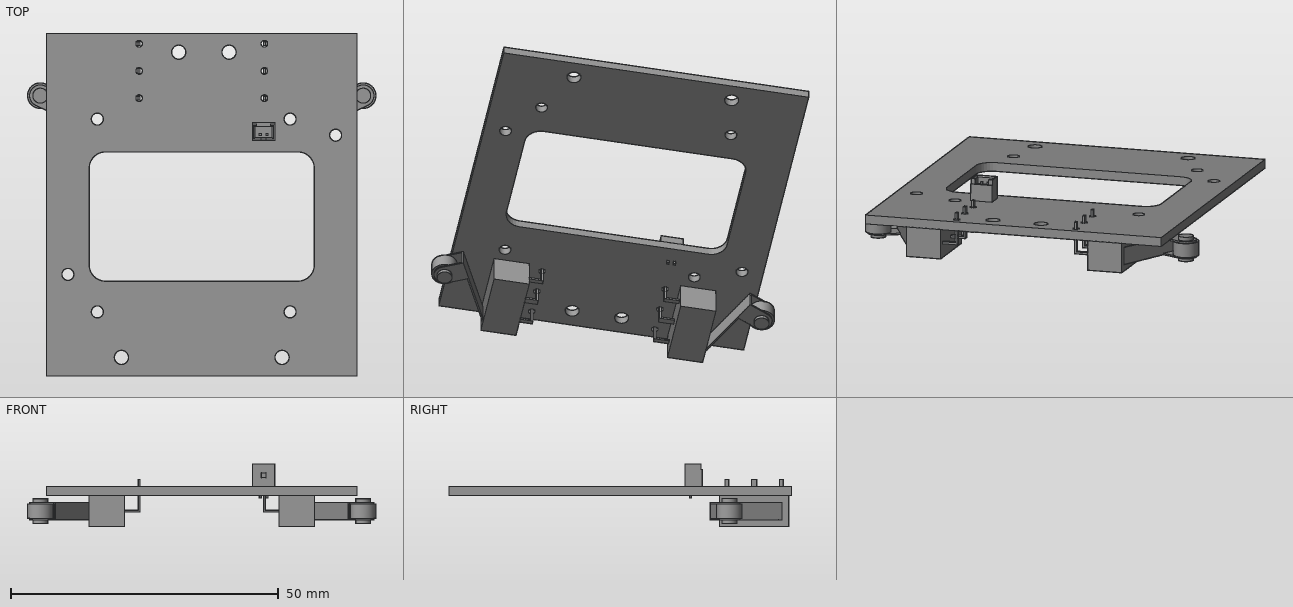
import cadquery as cq
import math

board_width = 58.0
board_length = 64.0
board_thickness = 1.7

window_width = 42.0
window_length = 24.1
window_centre_y = -2.2
window_corner_radius = 3.0
window_corner_facets = 8

large_hole_diameter = 2.6
large_hole_y = 28.5
front_hole_x = 15.0
rear_hole_pitch = 9.4
rear_hole_centre_x = 0.4

small_hole_diameter = 2.2
square_pattern_pitch = 36.0
square_pattern_centre = (-1.5, -2.0)
diagonal_hole = (25.0, 13.0)

terminal_hole_diameter = 1.2
contact_hole_diameter = 0.6

switch_width = 6.7
switch_length = 13.0
switch_height = 5.8
switch_outer_x = 21.1
switch_centre_y = 25.0
switch_mid_z = -switch_height / 2

terminal_x = 11.7
terminal_pitch = 5.08
terminal_thickness = 0.4
outer_terminal_width = 0.75
middle_terminal_width = 1.0
terminal_rise = 1.3

lever_height = 3.3
lever_thickness = 0.3
lever_root_y = 30.2
lever_tip = (-27.55, 16.9)

roller_diameter = 4.8
axle_diameter = 2.8
axle_length = 4.7
ear_radius = 2.0
axle_offset = 3.86
roller_width = lever_height - 2 * lever_thickness

connector_width = 4.2
connector_depth = 3.3
connector_height = 4.2
connector_centre_x = 11.55
connector_front_y = 12.05
connector_wall = 0.5
rim_chamfer = 0.25
connector_floor = 0.8
rear_step_depth = 0.25
rear_step_drop = 1.0
rear_opening_width = 2.6
latch_window = 0.9
contact_pitch = 1.25
contact_size = 0.4
contact_y = 13.1
contact_rise = 3.2
contact_tail = 0.5

contact_points = [
    (connector_centre_x + side * contact_pitch / 2, contact_y) for side in (-1, 1)
]
terminal_ys = [switch_centre_y + row * terminal_pitch for row in (-1, 0, 1)]


def box_between(x_range, y_range, z_range):
    """Box given by its lower and upper limits along each axis."""
    size = [high - low for low, high in (x_range, y_range, z_range)]
    return cq.Workplane("XY").box(*size, centered=False).translate((x_range[0], y_range[0], z_range[0]))


def window_outline():
    """Rectangle about the origin whose corners are rounded by short straight facets."""
    inset_x = window_width / 2 - window_corner_radius
    inset_y = window_length / 2 - window_corner_radius
    points = []
    for corner, (sign_x, sign_y) in enumerate([(1, 1), (-1, 1), (-1, -1), (1, -1)]):
        for step in range(window_corner_facets + 1):
            angle = math.pi / 2 * (corner + step / window_corner_facets)
            x = sign_x * inset_x + window_corner_radius * math.cos(angle)
            y = sign_y * inset_y + window_corner_radius * math.sin(angle)
            points.append((x, y))
    return points


def make_board():
    board = cq.Workplane("XY").rect(board_width, board_length).extrude(board_thickness)
    window = (
        cq.Workplane("XY")
        .center(0, window_centre_y)
        .polyline(window_outline())
        .close()
        .extrude(board_thickness)
    )
    large_holes = [(side * front_hole_x, -large_hole_y) for side in (-1, 1)]
    large_holes += [(rear_hole_centre_x + side * rear_hole_pitch / 2, large_hole_y) for side in (-1, 1)]

    centre_x, centre_y = square_pattern_centre
    half_pitch = square_pattern_pitch / 2
    small_holes = [
        (centre_x + i * half_pitch, centre_y + j * half_pitch) for i in (-1, 1) for j in (-1, 1)
    ]
    small_holes += [(side * diagonal_hole[0], side * diagonal_hole[1]) for side in (-1, 1)]

    terminal_holes = [(side * terminal_x, y) for side in (-1, 1) for y in terminal_ys]

    board = board.cut(window)
    for points, diameter in (
        (large_holes, large_hole_diameter),
        (small_holes, small_hole_diameter),
        (terminal_holes, terminal_hole_diameter),
        (contact_points, contact_hole_diameter),
    ):
        board = board.cut(cq.Workplane("XY").pushPoints(points).circle(diameter / 2).extrude(board_thickness))
    return board


lever_run_x = -switch_outer_x - lever_tip[0]
lever_run_y = lever_root_y - lever_tip[1]
lever_length = math.hypot(lever_run_x, lever_run_y)
lever_plane = cq.Plane(
    origin=(lever_tip[0], lever_tip[1], switch_mid_z),
    xDir=(lever_run_x, lever_run_y, 0),
    normal=(0, 0, 1),
)


def lever_layer(thickness):
    """Sketch plane of a layer of the given thickness centred on the switch mid-height."""
    return cq.Workplane(lever_plane).workplane(offset=-thickness / 2)


def make_lever():
    """Strip with two round-ended ears bent outwards, plus the axle between the ears."""
    strip_centre = (lever_length / 2, -lever_thickness / 2)
    strip = lever_layer(lever_height).center(*strip_centre).rect(lever_length, lever_thickness)
    ears = (
        lever_layer(lever_height)
        .moveTo(0, -lever_thickness)
        .lineTo(0, axle_offset)
        .threePointArc((ear_radius, axle_offset + ear_radius), (2 * ear_radius, axle_offset))
        .lineTo(2 * ear_radius, -lever_thickness)
        .close()
        .extrude(lever_height)
    )
    ear_gap = (
        lever_layer(roller_width)
        .center(ear_radius, axle_offset)
        .rect(3 * ear_radius, 2 * axle_offset)
        .extrude(roller_width)
    )
    axle = lever_layer(axle_length).center(ear_radius, axle_offset).circle(axle_diameter / 2)
    return strip.extrude(lever_height).union(ears.cut(ear_gap)).union(axle.extrude(axle_length))


def make_terminal(y, width):
    """Bent pin leaving the inner side of the switch and rising through the board."""
    inner_x = switch_width - switch_outer_x
    half = terminal_thickness / 2
    y_range = (y - width / 2, y + width / 2)
    x_end = half - terminal_x
    foot = box_between((inner_x, x_end), y_range, (switch_mid_z - half, switch_mid_z + half))
    post = box_between(
        (x_end - terminal_thickness, x_end),
        y_range,
        (switch_mid_z - half, board_thickness + terminal_rise),
    )
    return foot.union(post)


def make_switch():
    half_length = switch_length / 2
    switch = box_between(
        (-switch_outer_x, switch_width - switch_outer_x),
        (switch_centre_y - half_length, switch_centre_y + half_length),
        (-switch_height, 0),
    )
    switch = switch.union(make_lever())
    for y in terminal_ys:
        width = middle_terminal_width if y == switch_centre_y else outer_terminal_width
        switch = switch.union(make_terminal(y, width))
    return switch


def make_roller():
    return (
        lever_layer(roller_width)
        .center(ear_radius, axle_offset)
        .circle(roller_diameter / 2)
        .circle(axle_diameter / 2)
        .extrude(roller_width)
    )


def make_connector():
    """Open shell with a chamfered rim, stepped rear wall and latch window, plus two contacts."""
    left = connector_centre_x - connector_width / 2
    right = left + connector_width
    rear = connector_front_y + connector_depth
    top = board_thickness + connector_height
    floor = board_thickness + connector_floor
    shell = box_between((left, right), (connector_front_y, rear), (board_thickness, top))
    cavity = box_between(
        (left + connector_wall, right - connector_wall),
        (connector_front_y + connector_wall, rear - rear_step_depth - connector_wall),
        (floor, top),
    )
    inner_rim = cq.selectors.BoxSelector(
        (left + connector_wall / 2, connector_front_y + connector_wall / 2, floor),
        (right - connector_wall / 2, rear - connector_wall / 2, top + connector_wall),
    )
    step = box_between((left, right), (rear - rear_step_depth, rear), (top - rear_step_drop, top))
    rear_opening = box_between(
        (connector_centre_x - rear_opening_width / 2, connector_centre_x + rear_opening_width / 2),
        (rear - rear_step_depth - connector_wall, rear),
        (top - rear_step_drop, top),
    )
    latch_mid_z = board_thickness + connector_height / 2
    latch_hole = box_between(
        (connector_centre_x - latch_window / 2, connector_centre_x + latch_window / 2),
        (connector_front_y, connector_front_y + connector_wall),
        (latch_mid_z - latch_window / 2, latch_mid_z + latch_window / 2),
    )
    contacts = (
        cq.Workplane("XY", origin=(0, 0, -contact_tail))
        .pushPoints(contact_points)
        .rect(contact_size, contact_size)
        .extrude(contact_tail + board_thickness + contact_rise)
    )
    shell = shell.cut(cavity).faces(">Z").edges(inner_rim).chamfer(rim_chamfer)
    return shell.cut(step).cut(rear_opening).cut(latch_hole).union(contacts)


board = make_board()
connector = make_connector()
left_switch = make_switch()
left_roller = make_roller()
switches = [left_switch, left_switch.mirror("YZ")]
rollers = [left_roller, left_roller.mirror("YZ")]

result = cq.Compound.makeCompound(
    [board.val(), connector.val()] + [body.val() for body in switches + rollers]
)